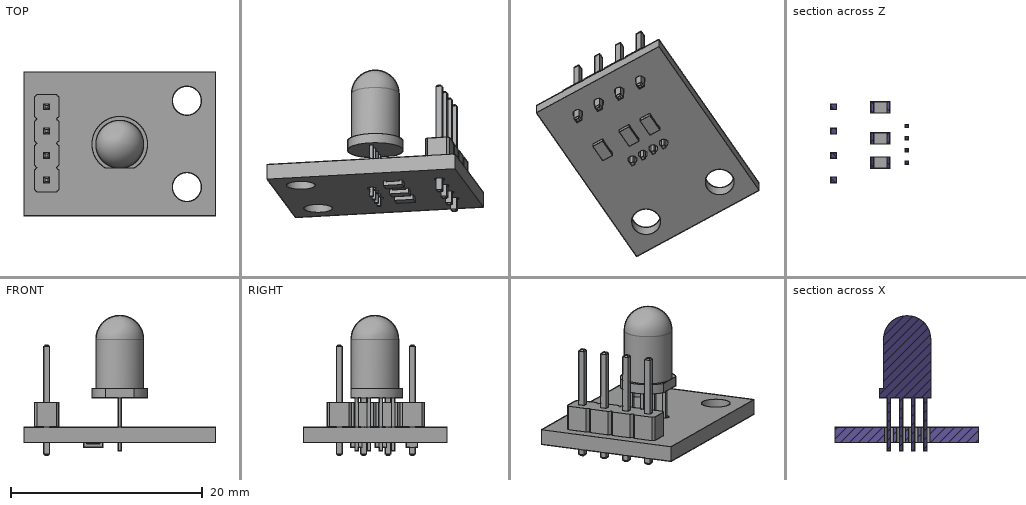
import cadquery as cq


board_length = 20.0
board_width = 15.0
board_thickness = 1.6
mount_hole_diameter = 3.0
mount_hole_inset = 3.0
pin_hole_diameter = 1.0
leg_hole_diameter = 0.9

pin_count = 4
pin_pitch = 2.55
pin_size = 0.62
pin_length = 11.5
pin_tip_chamfer = 0.15
pin_below_board = 1.35
header_x = -3 * pin_pitch
header_y = 0.05
header_lift = 0.05
block_chamfer = pin_pitch / 10

led_diameter = 5.0
led_top = 13.25
led_height = 8.6
flange_diameter = 5.8
flange_height = 1.0
led_y = -0.05
leg_count = 4
leg_pitch = pin_pitch / 2
leg_size = 0.35
leg_below_board = 0.85

resistor_length = 2.0
resistor_width = 1.2
resistor_x = -2.75
resistor_row_y = [3.82, 0.58, 0.58 - pin_pitch]
resistor_height = 0.5
pad_thickness = 0.1
pad_length = 0.32


def row(count, pitch, x, y):
    """Points evenly spaced along Y, centred on (x, y)."""
    return [(x, y + (i - (count - 1) / 2) * pitch) for i in range(count)]


pin_points = row(pin_count, pin_pitch, header_x, header_y)
leg_points = row(leg_count, leg_pitch, 0, led_y)


def box_at(x, y, size_x, size_y, bottom, top):
    """Box centred on (x, y) and reaching from bottom to top."""
    return (
        cq.Workplane("XY")
        .workplane(offset=bottom)
        .center(x, y)
        .rect(size_x, size_y)
        .extrude(top - bottom)
    )


def drill(board, points, diameter):
    """Cut a through hole in the board at each point."""
    drills = cq.Workplane("XY").pushPoints(points).circle(diameter / 2).extrude(board_thickness)
    return board.cut(drills)


def make_board():
    mount_x = board_length / 2 - mount_hole_inset
    mount_y = board_width / 2 - mount_hole_inset
    board = box_at(0, 0, board_length, board_width, 0, board_thickness)
    board = drill(board, [(mount_x, -mount_y), (mount_x, mount_y)], mount_hole_diameter)
    board = drill(board, pin_points, pin_hole_diameter)
    return drill(board, leg_points, leg_hole_diameter)


def make_header():
    strip_bottom = board_thickness + header_lift
    strip_top = strip_bottom + pin_pitch
    pin_bottom = -pin_below_board
    header = cq.Workplane("XY")
    for x, y in pin_points:
        block = box_at(x, y, pin_pitch, pin_pitch, strip_bottom, strip_top)
        header = header.union(block.edges("|Z").chamfer(block_chamfer))
    for x, y in pin_points:
        pin = box_at(x, y, pin_size, pin_size, pin_bottom, pin_bottom + pin_length)
        header = header.union(pin.faces("<Z or >Z").chamfer(pin_tip_chamfer))
    return header


def disc(diameter, bottom, top):
    """Cylinder on the LED's axis, reaching from bottom to top."""
    return (
        cq.Workplane("XY")
        .workplane(offset=bottom)
        .center(0, led_y)
        .circle(diameter / 2)
        .extrude(top - bottom)
    )


def make_led():
    led_radius = led_diameter / 2
    flange_bottom = led_top - led_height
    flange_top = flange_bottom + flange_height

    dome_bottom = led_top - led_radius
    barrel = disc(led_diameter, flange_bottom, dome_bottom)
    dome = (
        cq.Workplane("XZ", origin=(0, led_y, dome_bottom))
        .lineTo(led_radius, 0)
        .radiusArc((0, led_radius), -led_radius)
        .close()
        .revolve(360, (0, 0, 0), (0, 1, 0))
    )

    flat_y = led_y - led_radius
    outside_flat = box_at(
        0, flat_y - flange_diameter / 2, flange_diameter, flange_diameter, flange_bottom, flange_top
    )
    flange = disc(flange_diameter, flange_bottom, flange_top).cut(outside_flat)

    led = barrel.union(dome).union(flange)
    for x, y in leg_points:
        led = led.union(box_at(x, y, leg_size, leg_size, -leg_below_board, flange_bottom))
    return led


def make_resistor(y):
    """Flat chip that stands on the board's underside on a pad at each end."""
    resistor = box_at(
        resistor_x, y, resistor_length, resistor_width, -resistor_height, -pad_thickness
    )
    pad_offset = (resistor_length - pad_length) / 2
    for side in (-1, 1):
        pad_x = resistor_x + side * pad_offset
        pad = box_at(pad_x, y, pad_length, resistor_width, -pad_thickness, 0)
        resistor = resistor.union(pad)
    return resistor


board = make_board()
header = make_header()
led = make_led()
resistors = [make_resistor(y) for y in resistor_row_y]

result = cq.Compound.makeCompound(
    [board.val(), header.val(), led.val(), *[resistor.val() for resistor in resistors]]
)